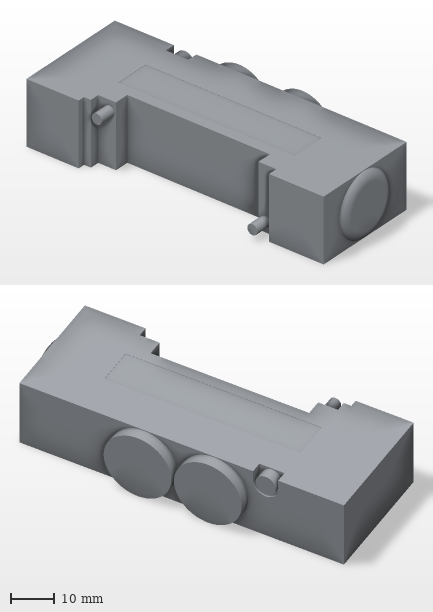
import cadquery as cq
import math

length = 88.0
height = 18.5
total_depth = 36.0
button_height = 3.0
body_depth = total_depth - button_height
dome_height = 1.5
body_length = length - dome_height

left_foot_width = 15.5
foot_setback = 2.0
ledge_setback = 4.75
recess_setback = 9.0
ledge_width = 5.3
left_ledge_start = 17.5
left_ledge_end = left_ledge_start + ledge_width
right_ledge_start = 65.0
right_ledge_end = right_ledge_start + ledge_width

button_diameter = 18.0
button_gap = 0.7
first_button_x = 34.6
second_button_x = first_button_x + button_diameter + button_gap
dome_y = 17.0
dome_edge_radius = 3.0
pin_diameter = 3.0
left_pin_x = 20.9
right_pin_x = 67.0
pin_inset = 3.0

socket_width = 6.7
socket_depth = 3.0
stud_diameter = 5.4

label_start_x = 17.8
label_start_y = 12.0
label_length = 52.3
label_width = 10.1
label_depth = 0.1


def cylinder_along_y(x, z, start_y, diameter, cylinder_length):
    """Cylinder running toward +Y from start_y."""
    base = cq.Workplane("XZ", origin=(x, start_y, z))
    return base.circle(diameter / 2).extrude(-cylinder_length)


def make_body():
    outline = [
        (0, 0),
        (left_foot_width, 0),
        (left_foot_width, foot_setback),
        (left_ledge_start, foot_setback),
        (left_ledge_start, ledge_setback),
        (left_ledge_end, ledge_setback),
        (left_ledge_end, recess_setback),
        (right_ledge_start, recess_setback),
        (right_ledge_start, ledge_setback),
        (right_ledge_end, ledge_setback),
        (right_ledge_end, foot_setback),
        (body_length, foot_setback),
        (body_length, body_depth),
        (0, body_depth),
    ]
    return cq.Workplane("XY").polyline(outline).close().extrude(height)


def make_socket():
    """U-shaped cut, open at the top and rear, leaving a round stud standing."""
    stud_z = height - pin_inset
    floor_y = body_depth - socket_depth
    rounded_end = cylinder_along_y(left_pin_x, stud_z, floor_y, socket_width, socket_depth)
    opening = cq.Workplane("XY").box(
        socket_width, socket_depth, pin_inset, centered=(True, False, False)
    ).translate((left_pin_x, floor_y, stud_z))
    stud = cylinder_along_y(left_pin_x, stud_z, floor_y, stud_diameter, socket_depth)
    return rounded_end.union(opening).cut(stud)


def make_dome():
    """Flat-topped button on the right end, its rim an arc tangent to the flat."""
    radius = button_diameter / 2
    arc_center_height = dome_height - dome_edge_radius
    base_angle = math.asin(-arc_center_height / dome_edge_radius)
    flat_radius = radius - dome_edge_radius * math.cos(base_angle)
    middle_angle = (base_angle + math.pi / 2) / 2
    arc_middle = (
        arc_center_height + dome_edge_radius * math.sin(middle_angle),
        flat_radius + dome_edge_radius * math.cos(middle_angle),
    )
    profile = (
        cq.Workplane("XY", origin=(body_length, dome_y, height / 2))
        .lineTo(0, radius)
        .threePointArc(arc_middle, (dome_height, flat_radius))
        .lineTo(dome_height, 0)
        .close()
    )
    return profile.revolve(360, (0, 0, 0), (1, 0, 0))


def make_label_recess():
    return cq.Workplane("XY").box(
        label_length, label_width, label_depth, centered=False
    ).translate((label_start_x, label_start_y, height - label_depth))


result = make_body().cut(make_socket()).cut(make_label_recess()).union(make_dome())

for button_x in (first_button_x, second_button_x):
    result = result.union(
        cylinder_along_y(button_x, height / 2, body_depth, button_diameter, button_height)
    )

for pin_x, pin_z in ((left_pin_x, height - pin_inset), (right_pin_x, pin_inset)):
    result = result.union(cylinder_along_y(pin_x, pin_z, 0, pin_diameter, ledge_setback))